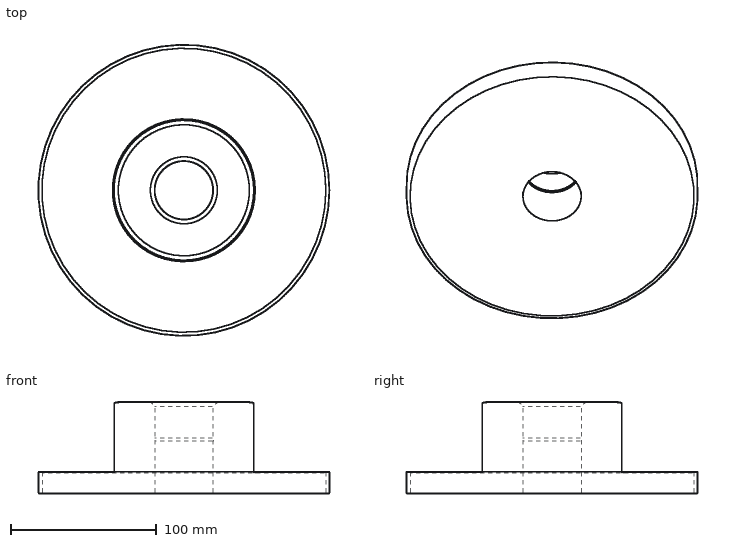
import cadquery as cq
cover_diameter = 200.0
cover_height = 15.0
cover_skin = 0.5
cover_opening = 98.0
top_round = 0.5
bottom_round = 1.0

flange_diameter = 195.0
flange_height = cover_height - cover_skin
hub_diameter = 96.0
hub_top = 63.0
hub_round = 1.2
face_diameter = 90.0
face_height = 0.5

bore_diameter = 40.0
bore_bevel = 3.0
relief_diameter = 40.2
relief_bottom = 36.2
relief_top = 38.5


def cylinder(diameter, bottom, height):
    """Plain cylinder about the Z axis."""
    return cq.Workplane("XY", origin=(0, 0, bottom)).circle(diameter / 2).extrude(height)


def make_flanged_hub():
    """Hub with a low raised end face, standing on a wide flange."""
    shoulder = hub_top - face_height
    flange = cylinder(flange_diameter, 0, flange_height)
    hub = cylinder(hub_diameter, 0, shoulder).faces(">Z").edges().fillet(hub_round)
    face = cylinder(face_diameter, shoulder, face_height)
    return flange.union(hub).union(face).cut(make_bore())


def make_bore():
    """Through bore with a bevelled mouth and a shallow relief band."""
    bore = bore_diameter / 2
    relief = relief_diameter / 2
    return (
        cq.Workplane("XZ")
        .polyline([
            (0, 0),
            (bore, 0),
            (bore, relief_bottom),
            (relief, relief_bottom),
            (relief, relief_top),
            (bore, relief_top),
            (bore, hub_top - bore_bevel),
            (bore + bore_bevel, hub_top),
            (0, hub_top),
        ])
        .close()
        .revolve(360, (0, 0, 0), (0, 1, 0))
    )


def make_cover():
    """Shallow cup around the flange, open below, with a clear opening around the hub."""
    disc = cylinder(cover_diameter, 0, cover_height)
    disc = disc.faces(">Z").edges().fillet(top_round)
    disc = disc.faces("<Z").edges().fillet(bottom_round)
    pocket = cylinder(flange_diameter, 0, flange_height)
    opening = cylinder(cover_opening, 0, cover_height)
    return disc.cut(pocket).cut(opening)


flanged_hub = make_flanged_hub()
cover = make_cover()
result = cq.Compound.makeCompound([flanged_hub.val(), cover.val()])